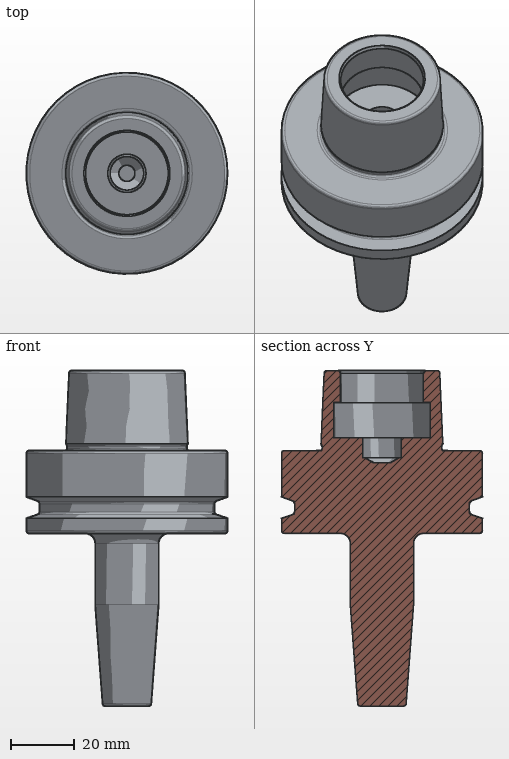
import cadquery as cq
import math

total_height = 105.0
flange_bottom = 54.0
flange_top = 80.0
nose_taper_start = 31.8

flange_radius = 31.5
flange_edge_round = 1.0
groove_floor_radius = 27.4
groove_bottom = 58.8
groove_floor_bottom = 60.2
groove_floor_top = 63.9
groove_top = 65.4
groove_fillet = 0.8

shank_radius = 10.0
shank_fillet = 3.0
nose_tip_radius = 7.7
nose_edge_round = 0.9

spigot_base_radius = 19.1
spigot_base_height = 82.1
spigot_top_radius = 18.2
spigot_edge_round = 0.9
relief_radius = 18.8
relief_top = 81.5
root_recess_radius = 20.4
root_recess_depth = 0.1
root_fillet = 0.7
relief_blend = 0.6

bore_radius = 12.9
bore_chamfer_width = 0.5
bore_chamfer_depth = 0.9
lip_length = 10.1
chamber_radius = 15.0
chamber_depth = 21.0

hole_radius = 6.0
hole_cone_radius = 5.2
hole_depth = 6.3
hole_floor_radius = 2.5
hole_cone_angle = 60.0


def fillet_rings(body, radius, heights):
    """Round the circular edges that lie at the given heights."""
    tolerance = 0.0001

    def is_at_height(edge):
        return any(abs(edge.Center().z - height) < tolerance for height in heights)

    return body.edges("%CIRCLE").filter(is_at_height).fillet(radius)


def make_body():
    """Revolve the outer shape, from the nose tip up to the spigot."""
    recess_floor = flange_top - root_recess_depth
    profile = (
        cq.Workplane("XZ")
        .lineTo(nose_tip_radius - nose_edge_round, 0)
        .radiusArc((nose_tip_radius, nose_edge_round), -nose_edge_round)
        .lineTo(shank_radius, nose_taper_start)
        .lineTo(shank_radius, flange_bottom - shank_fillet)
        .radiusArc((shank_radius + shank_fillet, flange_bottom), shank_fillet)
        .lineTo(flange_radius - flange_edge_round, flange_bottom)
        .radiusArc((flange_radius, flange_bottom + flange_edge_round), -flange_edge_round)
        .lineTo(flange_radius, groove_bottom)
        .lineTo(groove_floor_radius, groove_floor_bottom)
        .lineTo(groove_floor_radius, groove_floor_top)
        .lineTo(flange_radius, groove_top)
        .lineTo(flange_radius, flange_top - flange_edge_round)
        .radiusArc((flange_radius - flange_edge_round, flange_top), -flange_edge_round)
        .lineTo(root_recess_radius, flange_top)
        .lineTo(relief_radius + root_fillet, recess_floor)
        .radiusArc((relief_radius, recess_floor + root_fillet), root_fillet)
        .lineTo(relief_radius, relief_top)
        .lineTo(spigot_base_radius, spigot_base_height)
        .lineTo(spigot_top_radius, total_height - spigot_edge_round)
        .radiusArc((spigot_top_radius - spigot_edge_round, total_height), -spigot_edge_round)
        .lineTo(0, total_height)
        .close()
    )
    body = profile.revolve(360, (0, 0, 0), (0, 1, 0))
    body = fillet_rings(body, groove_fillet, [groove_floor_bottom, groove_floor_top])
    return fillet_rings(body, relief_blend, [relief_top])


def make_cavity():
    """Revolve the clamping bore, its chamber and the blind hole."""
    lip_end = total_height - lip_length
    chamber_floor = total_height - chamber_depth
    hole_cone_top = chamber_floor - hole_depth
    cone_height = (hole_cone_radius - hole_floor_radius) / math.tan(math.radians(hole_cone_angle))
    profile = (
        cq.Workplane("XZ")
        .moveTo(0, total_height)
        .lineTo(bore_radius + bore_chamfer_width, total_height)
        .lineTo(bore_radius, total_height - bore_chamfer_depth)
        .lineTo(bore_radius, lip_end)
        .lineTo(chamber_radius, lip_end)
        .lineTo(chamber_radius, chamber_floor)
        .lineTo(hole_radius, chamber_floor)
        .lineTo(hole_radius, hole_cone_top)
        .lineTo(hole_cone_radius, hole_cone_top)
        .lineTo(hole_floor_radius, hole_cone_top - cone_height)
        .lineTo(0, hole_cone_top - cone_height)
        .close()
    )
    return profile.revolve(360, (0, 0, 0), (0, 1, 0))


result = make_body().cut(make_cavity())